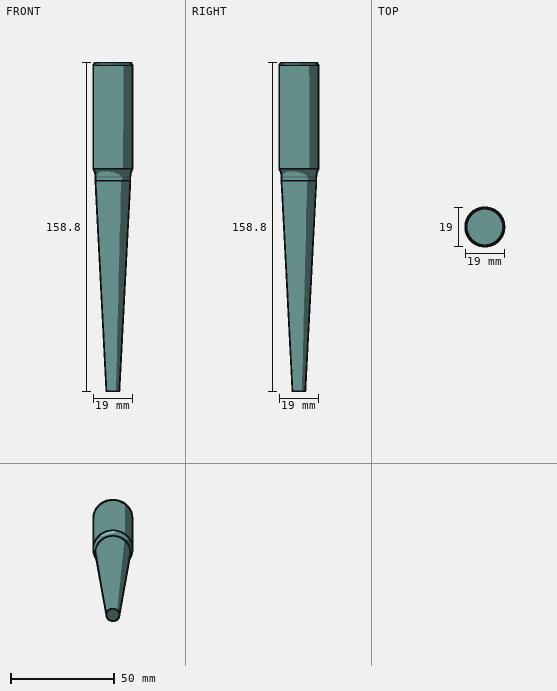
import cadquery as cq
import math

total_length = 158.8
shank_radius = 9.5
chamfer_height = 1.3
chamfer_angle = 30.0
chamfer_width = chamfer_height * math.tan(math.radians(chamfer_angle))

cutter_length = 101.6
tip_radius = 3.2
taper_angle = 3.0
cutter_base_radius = tip_radius + cutter_length * math.tan(math.radians(taper_angle))

neck_length = 2.0
flare_length = 3.8
neck_top = cutter_length + neck_length
flare_top = neck_top + flare_length

flare_width = shank_radius - cutter_base_radius
flare_radius = (flare_length**2 + flare_width**2) / (2 * flare_width)
half_flare_angle = math.asin(flare_length / flare_radius) / 2
flare_middle = (
    cutter_base_radius + flare_radius * (1 - math.cos(half_flare_angle)),
    neck_top + flare_radius * math.sin(half_flare_angle),
)


def revolve_about_z(profile):
    """Turn a closed radius-height profile into a solid around the Z axis."""
    return profile.close().revolve(360, (0, 0, 0), (0, 1, 0))


def make_cutter():
    """Tapered cutting portion."""
    profile = (
        cq.Workplane("XZ")
        .lineTo(tip_radius, 0)
        .lineTo(cutter_base_radius, cutter_length)
        .lineTo(0, cutter_length)
    )
    return revolve_about_z(profile)


def make_shank():
    """Cylindrical shank with chamfered top, concave flare and straight neck."""
    profile = (
        cq.Workplane("XZ")
        .moveTo(0, cutter_length)
        .lineTo(cutter_base_radius, cutter_length)
        .lineTo(cutter_base_radius, neck_top)
        .threePointArc(flare_middle, (shank_radius, flare_top))
        .lineTo(shank_radius, total_length - chamfer_height)
        .lineTo(shank_radius - chamfer_width, total_length)
        .lineTo(0, total_length)
    )
    return revolve_about_z(profile)


cutter = make_cutter()
shank = make_shank()

result = cq.Compound.makeCompound([cutter.val(), shank.val()])